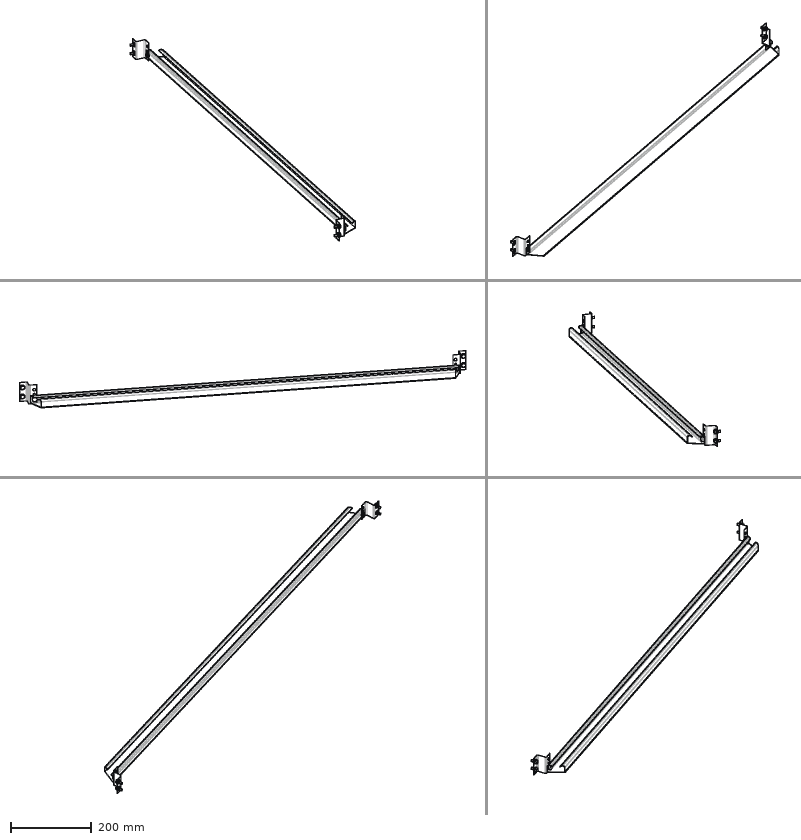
import cadquery as cq
import math

overall_length = 1139.0
half_length = overall_length / 2

bracket_height = 50.0
sheet = 1.0
bend_inner = 2.0
bend_outer = bend_inner + sheet
web_offset = 18.0
bracket_width = 39.0
bracket_depth = 26.0
hole_spacing = 24.0
middle_hole_diameter = 5.0
upper_hole_diameter = 7.0
inner_hole_offset = 32.0

boss_diameter = 13.0
boss_length = 7.0
boss_tip_diameter = 7.0
boss_tip_length = 3.0

bolt_offset = 7.0
shank_diameter = 6.0
shank_reach = 9.0
head_across_flats = 9.0
head_flange_diameter = 13.0
head_flange_height = 2.0
collar_diameter = 7.0
collar_length = 3.0
head_height = 6.0

rail_sheet = 1.7
rail_depth = 41.0
rail_bottom = 2.0
rail_top = 24.0
hook_radius = 6.0
hook_crest = 1.0
hook_lip_angle = 70.0
front_radius = 4.0
front_crest = 5.0
end_inset_front = 22.0
end_inset_back = 41.0

middle_z = bracket_height / 2
lower_z = middle_z - hole_spacing / 2
upper_z = middle_z + hole_spacing / 2
bracket_end_x = -half_length
inner_hole_x = bracket_end_x + inner_hole_offset
bolt_x = bracket_end_x + bolt_offset
outer_flange_front = -bracket_depth
outer_flange_back = outer_flange_front + sheet


def cylinder_along_y(x, z, diameter, y_start, y_end):
    """Cylinder on an axis parallel to Y, from y_start up to y_end."""
    axis = cq.Vector(0, 1, 0)
    solid = cq.Solid.makeCylinder(diameter / 2, y_end - y_start, cq.Vector(x, y_start, z), axis)
    return cq.Workplane(obj=solid)


def mirrored(body):
    """Copy of a left-hand body for the right-hand end."""
    return body.mirror("YZ")


def make_bracket():
    """Left-hand bracket: outer flange, web and inner flange with its boss."""
    web_outer = bracket_end_x + web_offset
    web_inner = web_outer + sheet
    inner_end = bracket_end_x + bracket_width
    body = (
        cq.Workplane("XY")
        .moveTo(bracket_end_x, outer_flange_front)
        .lineTo(web_inner, outer_flange_front)
        .lineTo(web_inner, -sheet)
        .lineTo(inner_end, -sheet)
        .lineTo(inner_end, 0)
        .lineTo(web_outer, 0)
        .lineTo(web_outer, outer_flange_back)
        .lineTo(bracket_end_x, outer_flange_back)
        .close()
        .extrude(bracket_height)
    )
    outside_bends = [(web_inner, outer_flange_front), (web_outer, 0)]
    inside_bends = [(web_inner, -sheet), (web_outer, outer_flange_back)]
    for corners, radius in ((outside_bends, bend_outer), (inside_bends, bend_inner)):
        for x, y in corners:
            body = body.edges(cq.NearestToPointSelector((x, y, middle_z))).fillet(radius)

    for z in (lower_z, upper_z):
        body = body.cut(cylinder_along_y(bolt_x, z, shank_diameter, outer_flange_front, outer_flange_back))
    body = body.cut(cylinder_along_y(inner_hole_x, upper_z, upper_hole_diameter, -sheet, 0))
    body = body.cut(cylinder_along_y(inner_hole_x, middle_z, middle_hole_diameter, -sheet, 0))

    boss = cylinder_along_y(inner_hole_x, lower_z, boss_diameter, 0, boss_length)
    boss_tip = cylinder_along_y(inner_hole_x, lower_z, boss_tip_diameter, -sheet - boss_tip_length, 0)
    return body.union(boss).union(boss_tip)


def make_bolt(z):
    """Left-hand bolt: flanged hexagon head behind the outer flange, shank through it, shoulder in front."""
    head_across_corners = head_across_flats / math.cos(math.radians(30))
    head = (
        cq.Workplane("XZ", origin=(bolt_x, outer_flange_back, z))
        .transformed(rotate=(0, 0, 30))
        .polygon(6, head_across_corners)
        .extrude(-head_height)
    )
    head_flange_back = outer_flange_back + head_flange_height
    head_flange = cylinder_along_y(bolt_x, z, head_flange_diameter, outer_flange_back, head_flange_back)
    collar_front = outer_flange_front - collar_length
    collar = cylinder_along_y(bolt_x, z, collar_diameter, collar_front, outer_flange_front)
    shank = cylinder_along_y(bolt_x, z, shank_diameter, outer_flange_front - shank_reach, outer_flange_back)
    return head.union(head_flange).union(collar).union(shank)


def arc_point(centre, radius, angle):
    """Point on a circle in the YZ plane, angle in degrees from +Y towards +Z."""
    turn = math.radians(angle)
    return (centre[0] + radius * math.cos(turn), centre[1] + radius * math.sin(turn))


def rail_section():
    """Closed outline of the bent sheet, as (Y, Z) points."""
    floor_top = rail_bottom + rail_sheet
    hook_inner = hook_radius - rail_sheet
    front_inner = front_radius - rail_sheet
    hook_centre = (rail_depth - hook_radius, rail_top - hook_radius)
    lower_centre = (front_radius, rail_bottom + front_radius)
    upper_centre = (front_radius, rail_top - front_radius)
    lip_centre = (front_radius + front_crest, rail_top - front_radius)
    hook_lip_centre = (hook_centre[0] - hook_crest, hook_centre[1])
    hook_end = 90 + hook_lip_angle
    hook_middle = 90 + hook_lip_angle / 2
    return (
        cq.Workplane("YZ")
        .moveTo(rail_depth, rail_bottom)
        .lineTo(*arc_point(hook_centre, hook_radius, 0))
        .threePointArc(arc_point(hook_centre, hook_radius, 45), arc_point(hook_centre, hook_radius, 90))
        .lineTo(*arc_point(hook_lip_centre, hook_radius, 90))
        .threePointArc(
            arc_point(hook_lip_centre, hook_radius, hook_middle),
            arc_point(hook_lip_centre, hook_radius, hook_end),
        )
        .lineTo(*arc_point(hook_lip_centre, hook_inner, hook_end))
        .threePointArc(
            arc_point(hook_lip_centre, hook_inner, hook_middle),
            arc_point(hook_lip_centre, hook_inner, 90),
        )
        .lineTo(*arc_point(hook_centre, hook_inner, 90))
        .threePointArc(arc_point(hook_centre, hook_inner, 45), arc_point(hook_centre, hook_inner, 0))
        .lineTo(rail_depth - rail_sheet, floor_top)
        .lineTo(*arc_point(lower_centre, front_inner, 270))
        .threePointArc(arc_point(lower_centre, front_inner, 225), arc_point(lower_centre, front_inner, 180))
        .lineTo(*arc_point(upper_centre, front_inner, 180))
        .threePointArc(arc_point(upper_centre, front_inner, 135), arc_point(upper_centre, front_inner, 90))
        .lineTo(*arc_point(lip_centre, front_inner, 90))
        .threePointArc(arc_point(lip_centre, front_inner, 45), arc_point(lip_centre, front_inner, 0))
        .lineTo(*arc_point(lip_centre, front_radius, 0))
        .threePointArc(arc_point(lip_centre, front_radius, 45), arc_point(lip_centre, front_radius, 90))
        .lineTo(*arc_point(upper_centre, front_radius, 90))
        .threePointArc(arc_point(upper_centre, front_radius, 135), arc_point(upper_centre, front_radius, 180))
        .lineTo(*arc_point(lower_centre, front_radius, 180))
        .threePointArc(arc_point(lower_centre, front_radius, 225), arc_point(lower_centre, front_radius, 270))
        .close()
    )


def make_rail():
    """Rail with slanted ends and a hole at each end for the bracket boss."""
    front_end = half_length - end_inset_front
    back_end = half_length - end_inset_back
    plan = (
        cq.Workplane("XY")
        .polyline([(-front_end, 0), (front_end, 0), (back_end, rail_depth), (-back_end, rail_depth)])
        .close()
        .extrude(bracket_height)
    )
    body = rail_section().extrude(half_length, both=True).intersect(plan)
    for x in (inner_hole_x, -inner_hole_x):
        body = body.cut(cylinder_along_y(x, lower_z, boss_diameter, 0, boss_length))
    return body


rail = make_rail()
left_bracket = make_bracket()
brackets = [left_bracket, mirrored(left_bracket)]
bolts = []
for bolt_z in (lower_z, upper_z):
    left_bolt = make_bolt(bolt_z)
    bolts += [left_bolt, mirrored(left_bolt)]

result = cq.Compound.makeCompound([body.val() for body in [rail, *brackets, *bolts]])